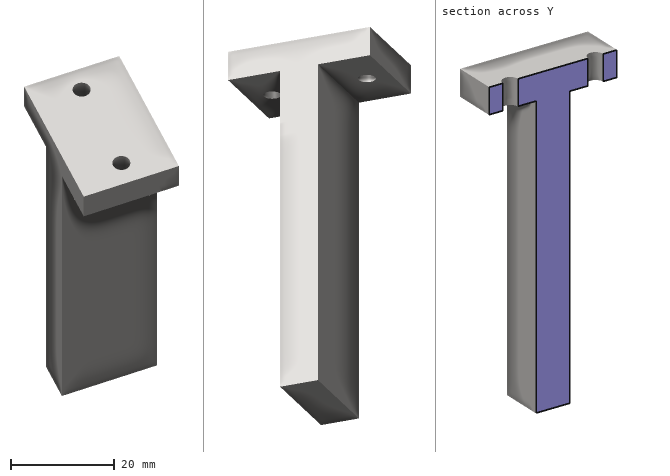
import cadquery as cq

depth = 20.0
total_height = 73.0

flange_width = 30.0
flange_thickness = 6.0

web_width = 8.0
web_height = total_height - flange_thickness

hole_diameter = 3.5
hole_spacing = 20.0


def make_web():
    """Upright plate standing on Z = 0, centred on X and Y."""
    return cq.Workplane("XY").box(web_width, depth, web_height, centered=(True, True, False))


def make_flange():
    """Horizontal plate resting on the web, with its two through holes."""
    plate = (
        cq.Workplane("XY")
        .workplane(offset=web_height)
        .box(flange_width, depth, flange_thickness, centered=(True, True, False))
    )
    return (
        plate.faces(">Z")
        .workplane(origin=(0, 0, total_height))
        .pushPoints([(-hole_spacing / 2, 0), (hole_spacing / 2, 0)])
        .hole(hole_diameter)
    )


result = make_web().union(make_flange())